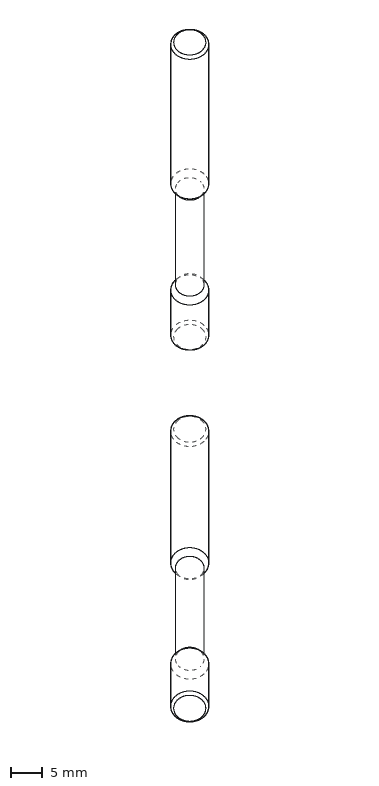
import cadquery as cq
import math

total_length = 75.0
shank_diameter = 6.0
neck_diameter = 4.5

head_length = 12.0
shank_length = 36.0
cone_half_angle = 30.0

chamfer = 0.48

shank_radius = shank_diameter / 2
neck_radius = neck_diameter / 2
cone_length = (shank_radius - neck_radius) / math.tan(math.radians(cone_half_angle))
shank_start = total_length - shank_length

profile = (
    cq.Workplane("XZ")
    .lineTo(shank_radius - chamfer, 0)
    .lineTo(shank_radius, chamfer)
    .lineTo(shank_radius, head_length)
    .lineTo(neck_radius, head_length + cone_length)
    .lineTo(neck_radius, shank_start - cone_length)
    .lineTo(shank_radius, shank_start)
    .lineTo(shank_radius, total_length - chamfer)
    .lineTo(shank_radius - chamfer, total_length)
    .lineTo(0, total_length)
    .close()
)

result = profile.revolve(360, (0, 0, 0), (0, 1, 0))